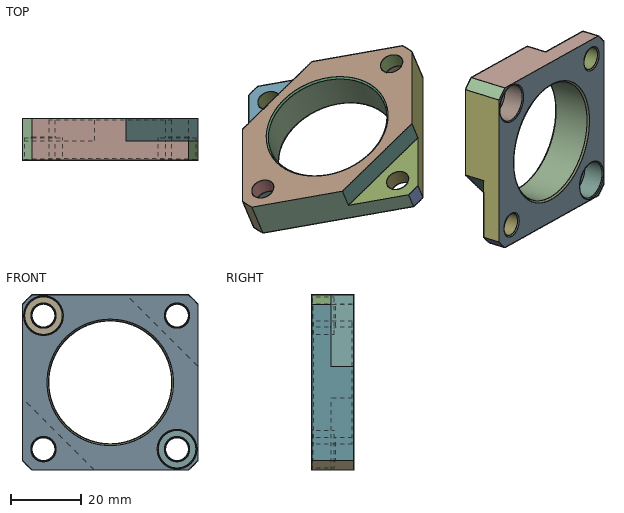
import cadquery as cq

side = 50.0
thickness = 12.0
corner_circle_diameter = 66.9
half_side = side / 2
front_y = -thickness / 2
back_y = thickness / 2

flange_thickness = 5.5
relief_leg = 20.5

bore_diameter = 35.0
bore_chamfer = 0.5

hole_offset = 19.0
hole_diameter = 6.5
hole_chamfer = 0.35
counterbore_diameter = 10.7
counterbore_depth = 6.4
counterbore_chamfer = 0.3


def cylinder_along_y(x, z, diameter, start_y, length):
    return cq.Workplane(cq.Solid.makeCylinder(
        diameter / 2, length, cq.Vector(x, start_y, z), cq.Vector(0, 1, 0)))


def chamfer_cone(x, z, diameter, size, rim_y, inward=1):
    """Conical cutter widening a hole toward its rim at rim_y; inward is the Y sign into the part."""
    return cq.Workplane(cq.Solid.makeCone(
        diameter / 2 + size, diameter / 2, size,
        cq.Vector(x, rim_y, z), cq.Vector(0, inward, 0)))


def corner_relief(sign):
    """Triangular cutter behind the corner at (sign, sign) in X and Z."""
    corner = sign * half_side
    inner = sign * (half_side - relief_leg)
    return (
        cq.Workplane("XZ", origin=(0, back_y, 0))
        .polyline([(corner, corner), (inner, corner), (corner, inner)])
        .close()
        .extrude(thickness - flange_thickness)
    )


def through_hole(body, x, z, diameter, chamfer, start_y, end_y):
    """Hole from start_y to end_y, chamfered at its front rim."""
    body = body.cut(cylinder_along_y(x, z, diameter, start_y, end_y - start_y))
    return body.cut(chamfer_cone(x, z, diameter, chamfer, start_y))


result = cq.Workplane("XY").box(side, thickness, side)
result = result.intersect(cylinder_along_y(0, 0, corner_circle_diameter, front_y, thickness))

result = through_hole(result, 0, 0, bore_diameter, bore_chamfer, front_y, back_y)
result = result.cut(chamfer_cone(0, 0, bore_diameter, bore_chamfer, back_y, inward=-1))

flange_back_y = front_y + flange_thickness
seat_y = front_y + counterbore_depth
for sign in (-1, 1):
    result = result.cut(corner_relief(sign))

    place = sign * hole_offset
    result = through_hole(result, place, place, hole_diameter, hole_chamfer, front_y, flange_back_y)

    result = through_hole(result, place, -place, hole_diameter, hole_chamfer, seat_y, back_y)
    result = result.cut(cylinder_along_y(place, -place, counterbore_diameter, front_y, counterbore_depth))
    result = result.cut(
        chamfer_cone(place, -place, counterbore_diameter, counterbore_chamfer, front_y))